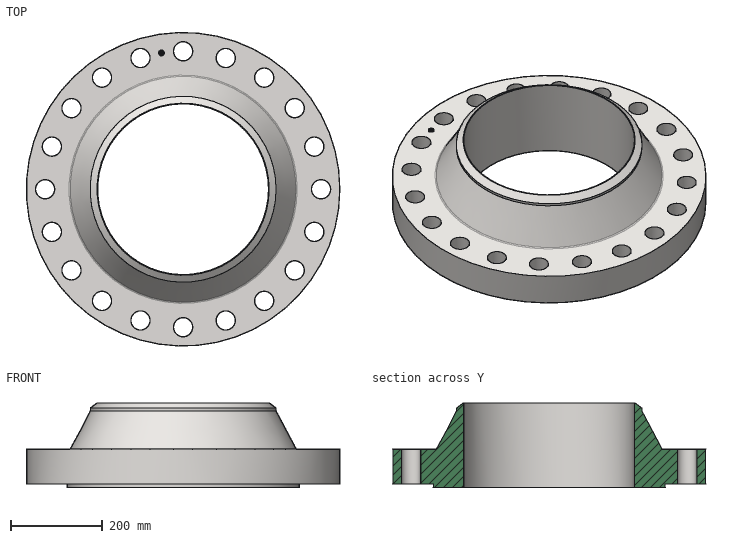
import cadquery as cq
import math

flange_radius = 685.8 / 2
flange_thickness = 76.2

raised_face_radius = 508.0 / 2
raised_face_height = 7.95

overall_height = 185.75
hub_base_radius = 495.3 / 2
hub_fillet_radius = 3.0
neck_radius = 406.4 / 2
neck_height = 6.0
wall_thickness = 16.66
bore_radius = neck_radius - wall_thickness

root_land = 1.6
bevel_angle = 37.5
bevel_height = (wall_thickness - root_land) * math.tan(math.radians(bevel_angle))

bolt_count = 20
bolt_circle_radius = 603.2 / 2
bolt_hole_diameter = 41.3
bolt_pitch_angle = 360 / bolt_count

small_hole_diameter = 12.7
small_hole_steps = 3
small_hole_step_depth = 3.0
small_hole_angle = 90 + bolt_pitch_angle / 2

flange_bottom = raised_face_height
flange_top = flange_bottom + flange_thickness
bevel_start = overall_height - bevel_height
neck_start = bevel_start - neck_height

hub_slope = math.atan2(neck_start - flange_top, hub_base_radius - neck_radius)
hub_fillet_reach = hub_fillet_radius * math.tan(hub_slope / 2)
fillet_outer_radius = hub_base_radius + hub_fillet_reach
fillet_inner_radius = hub_base_radius - hub_fillet_reach * math.cos(hub_slope)
fillet_top = flange_top + hub_fillet_reach * math.sin(hub_slope)


def make_body():
    """Revolve the half section around the Z axis."""
    profile = (
        cq.Workplane("XZ")
        .moveTo(bore_radius, 0)
        .lineTo(raised_face_radius, 0)
        .lineTo(raised_face_radius, flange_bottom)
        .lineTo(flange_radius, flange_bottom)
        .lineTo(flange_radius, flange_top)
        .lineTo(fillet_outer_radius, flange_top)
        .tangentArcPoint((fillet_inner_radius, fillet_top), relative=False)
        .lineTo(neck_radius, neck_start)
        .lineTo(neck_radius, bevel_start)
        .lineTo(bore_radius + root_land, overall_height)
        .lineTo(bore_radius, overall_height)
        .close()
    )
    return profile.revolve(360, (0, 0, 0), (0, 1, 0))


def make_bolt_holes():
    """Cylinders through the full plate thickness on the bolt circle."""
    return (
        cq.Workplane("XY")
        .workplane(offset=flange_bottom)
        .polarArray(bolt_circle_radius, 0, 360, bolt_count)
        .circle(bolt_hole_diameter / 2)
        .extrude(flange_thickness)
    )


def make_small_hole_step(step):
    """One cylinder of the stepped hole, narrower and deeper as the step number rises."""
    diameter = small_hole_diameter * (small_hole_steps - step) / small_hole_steps
    depth = small_hole_step_depth * (step + 1)
    return (
        cq.Workplane("XY")
        .workplane(offset=flange_top)
        .polarArray(bolt_circle_radius, small_hole_angle, 360, 1)
        .circle(diameter / 2)
        .extrude(-depth)
    )


body = make_body().cut(make_bolt_holes())
for step_number in range(small_hole_steps):
    body = body.cut(make_small_hole_step(step_number))

result = body.solids()